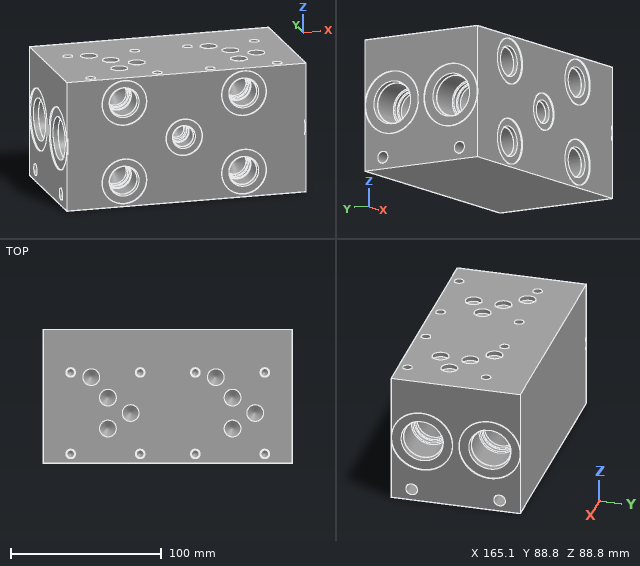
import cadquery as cq
import math

length = 165.1
width = 88.8
height = 88.8

drill_point_angle = 118.0

spotface_depth = 0.8

main_port = {
    "spotface": 42.1, "seat_mouth": 28.9, "seat_bottom": 27.4, "seat_depth": 4.1,
    "thread": 27.0, "thread_depth": 23.1,
    "drill": 25.0, "drill_depth": 26.4,
    "pilot": 23.0, "pilot_depth": 29.7,
}
work_port = {
    "spotface": 30.7, "seat_mouth": 20.5, "seat_bottom": 19.3, "seat_depth": 3.3,
    "thread": 19.0, "thread_depth": 16.5,
    "drill": 17.5, "drill_depth": 19.8,
    "pilot": 15.8, "pilot_depth": 23.1,
}
gauge_port = {
    "spotface": 25.0, "seat_mouth": 15.7, "seat_bottom": 14.5, "seat_depth": 3.3,
    "thread": 14.2, "thread_depth": 13.2,
    "drill": 12.9, "drill_depth": 16.5,
    "pilot": 10.7, "pilot_depth": 19.8,
}

main_port_offset_y = 23.3
port_group_shift_x = -1.5
work_port_offset_z = 27.0

station_pitch = 82.5
bolt_spacing_x = 46.0
bolt_spacing_y = 54.0
front_bolt_y = -38.1
valve_passage_diameter = 11.0
valve_passage_depth = 3.3
valve_passages = [(-9.4, 50.9), (1.7, 37.3), (16.7, 27.0), (1.7, 16.8)]

valve_bolt = {"thread": 6.3, "thread_depth": 16.5, "drill": 5.1, "drill_depth": 19.8}
end_bolt = {"thread": 8.0, "thread_depth": 16.5, "drill": 6.6, "drill_depth": 19.8}
end_bolt_offset_y = 30.2
end_bolt_z = -36.5


def stepped_hole(steps):
    """Cutter from z = 0 downwards; each step is (top diameter, bottom diameter, bottom depth)."""
    points = [(0, 0)]
    top_depth = 0
    for top_diameter, bottom_diameter, bottom_depth in steps:
        points.append((top_diameter / 2, -top_depth))
        points.append((bottom_diameter / 2, -bottom_depth))
        top_depth = bottom_depth
    end_radius = steps[-1][1] / 2
    tip_length = end_radius / math.tan(math.radians(drill_point_angle / 2))
    points.append((0, -top_depth - tip_length))
    return cq.Workplane("XZ").polyline(points).close().revolve(360, (0, 0), (0, 1))


def port_hole(port):
    return stepped_hole([
        (port["spotface"], port["spotface"], spotface_depth),
        (port["seat_mouth"], port["seat_bottom"], port["seat_depth"]),
        (port["thread"], port["thread"], port["thread_depth"]),
        (port["drill"], port["drill"], port["drill_depth"]),
        (port["pilot"], port["pilot"], port["pilot_depth"]),
    ])


def bolt_hole(bolt):
    return stepped_hole([
        (bolt["thread"], bolt["thread"], bolt["thread_depth"]),
        (bolt["drill"], bolt["drill"], bolt["drill_depth"]),
    ])


def into_top(cutter, x, y):
    return cutter.translate((x, y, height / 2))


def into_front(cutter, x, z):
    return cutter.rotate((0, 0, 0), (1, 0, 0), 90).translate((x, -width / 2, z))


def into_end(cutter, side, y, z):
    """Place a cutter in the -X end (side = -1) or the +X end (side = 1)."""
    return cutter.rotate((0, 0, 0), (0, 1, 0), side * 90).translate((side * length / 2, y, z))


cutters = []

for side in (-1, 1):
    for hand in (-1, 1):
        cutters.append(into_end(port_hole(main_port), side, hand * main_port_offset_y, 0))
        cutters.append(into_end(bolt_hole(end_bolt), side, hand * end_bolt_offset_y, end_bolt_z))

cutters.append(into_front(port_hole(gauge_port), port_group_shift_x, 0))

for station_x in (-station_pitch / 2, station_pitch / 2):
    for z in (-work_port_offset_z, work_port_offset_z):
        cutters.append(into_front(port_hole(work_port), station_x + port_group_shift_x, z))

    for x in (station_x - bolt_spacing_x / 2, station_x + bolt_spacing_x / 2):
        for y in (front_bolt_y, front_bolt_y + bolt_spacing_y):
            cutters.append(into_top(bolt_hole(valve_bolt), x, y))

    passage = stepped_hole([(valve_passage_diameter, valve_passage_diameter, valve_passage_depth)])
    for dx, dy in valve_passages:
        cutters.append(into_top(passage, station_x + dx, front_bolt_y + dy))

block = cq.Workplane("XY").box(length, width, height)
all_holes = cq.Compound.makeCompound([cutter.val() for cutter in cutters])
result = block.cut(cq.Workplane(all_holes))